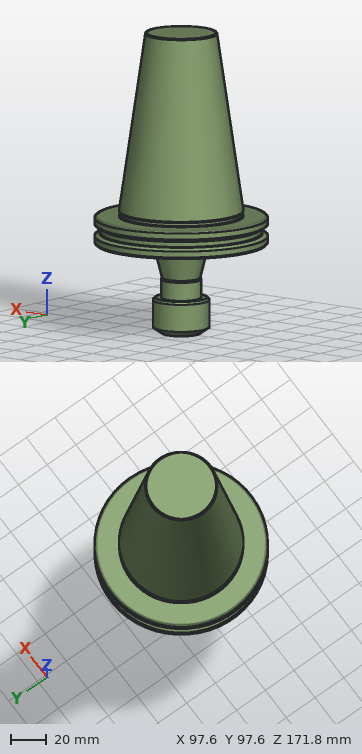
import cadquery as cq

TOTAL_HEIGHT = 171.8
HEAD_TOP = 20.5
NECK_TOP = 30.7
SHANK_START = 31.8
FLANGE_BOTTOM = 51.2
FLANGE_TOP = 67.0
COLLAR_TOP = 69.2
TAPER_START = 70.0

HEAD_RADIUS = 16.0
HEAD_BOTTOM_RADIUS = 10.6
NECK_RADIUS = 11.3
SHANK_SMALL_RADIUS = 10.8
SHANK_LARGE_RADIUS = 15.8
FLANGE_RADIUS = 48.8
COLLAR_RADIUS = 34.5
TAPER_LARGE_RADIUS = 35.0
TAPER_SMALL_RADIUS = 20.3

HEAD_BOTTOM_CHAMFER_HEIGHT = 3.6
HEAD_TOP_CHAMFER = 1.4
FLANGE_CHAMFER = 1.0
FLANGE_CHAMFER_BLEND = 0.7
COLLAR_FOOT_CHAMFER = 0.5
TAPER_TIP_CHAMFER = 0.7

GROOVE_CENTER = 59.0
GROOVE_ROOT_RADIUS = 45.5
GROOVE_MOUTH_WIDTH = 6.9
GROOVE_ROOT_WIDTH = 3.5
GROOVE_ROOT_FILLET = 0.5


def revolve_profile(points):
    """Revolve a closed (radius, height) outline about the Z axis."""
    return cq.Workplane("XZ").polyline(points).close().revolve(360, (0, 0), (0, 1))


def make_knob():
    """Chamfered head, neck and flaring shank below the flange."""
    return revolve_profile([
        (0, 0),
        (HEAD_BOTTOM_RADIUS, 0),
        (HEAD_RADIUS, HEAD_BOTTOM_CHAMFER_HEIGHT),
        (HEAD_RADIUS, HEAD_TOP - HEAD_TOP_CHAMFER),
        (HEAD_RADIUS - HEAD_TOP_CHAMFER, HEAD_TOP),
        (NECK_RADIUS, HEAD_TOP),
        (NECK_RADIUS, NECK_TOP),
        (SHANK_SMALL_RADIUS, SHANK_START),
        (SHANK_LARGE_RADIUS, FLANGE_BOTTOM),
        (0, FLANGE_BOTTOM),
    ])


def make_flange():
    """Chamfered disc, softened on top, with a V-sided groove around its rim."""
    disc = (
        cq.Workplane("XY", origin=(0, 0, FLANGE_BOTTOM))
        .circle(FLANGE_RADIUS)
        .extrude(FLANGE_TOP - FLANGE_BOTTOM)
        .faces("|Z").edges().chamfer(FLANGE_CHAMFER)
        .faces(">Z").edges().fillet(FLANGE_CHAMFER_BLEND)
    )
    groove = revolve_profile([
        (GROOVE_ROOT_RADIUS, GROOVE_CENTER - GROOVE_ROOT_WIDTH / 2),
        (FLANGE_RADIUS, GROOVE_CENTER - GROOVE_MOUTH_WIDTH / 2),
        (FLANGE_RADIUS, GROOVE_CENTER + GROOVE_MOUTH_WIDTH / 2),
        (GROOVE_ROOT_RADIUS, GROOVE_CENTER + GROOVE_ROOT_WIDTH / 2),
    ])
    groove_root_edges = cq.selectors.RadiusNthSelector(0)
    groove = groove.edges("%CIRCLE").edges(groove_root_edges).fillet(GROOVE_ROOT_FILLET)
    return disc.cut(groove)


def make_taper():
    """Short collar with a chamfered foot, carrying the long taper with a chamfered tip."""
    return revolve_profile([
        (0, FLANGE_TOP),
        (COLLAR_RADIUS + COLLAR_FOOT_CHAMFER, FLANGE_TOP),
        (COLLAR_RADIUS, FLANGE_TOP + COLLAR_FOOT_CHAMFER),
        (COLLAR_RADIUS, COLLAR_TOP),
        (TAPER_LARGE_RADIUS, TAPER_START),
        (TAPER_SMALL_RADIUS, TOTAL_HEIGHT - TAPER_TIP_CHAMFER),
        (TAPER_SMALL_RADIUS - TAPER_TIP_CHAMFER, TOTAL_HEIGHT),
        (0, TOTAL_HEIGHT),
    ])


result = make_knob().union(make_flange()).union(make_taper())